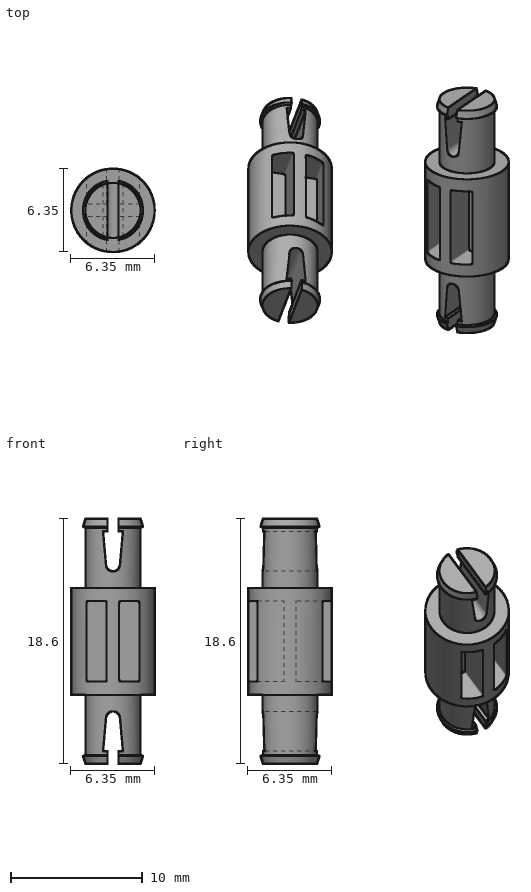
import cadquery as cq
import math

total_length = 18.63
body_diameter = 6.35
body_length = 8.15
pin_diameter = 4.2

rim_diameter = 4.56
rim_edge_depth = 0.6
rim_bottom_depth = 0.69

slot_entry_width = 0.82
slot_shoulder_depth = 0.97
slot_shoulder_width = 1.49
slot_depth = 3.99
slot_end_radius = 0.52

pocket_rib_width = 0.95
pocket_width = 1.53
pocket_height = 6.13
pocket_corner_radius = 0.15
pocket_floor_offset = 0.47

half_length = total_length / 2
body_radius = body_diameter / 2
pin_radius = pin_diameter / 2
rim_radius = rim_diameter / 2


def make_pin():
    """Upper pin with its snap rim, running from the part centre to the end."""
    profile = [
        (0, 0),
        (pin_radius, 0),
        (pin_radius, half_length - rim_bottom_depth),
        (rim_radius, half_length - rim_edge_depth),
        (pin_radius, half_length),
        (0, half_length),
    ]
    return cq.Workplane("XZ").polyline(profile).close().revolve(360, (0, 0, 0), (0, 1, 0))


def make_slot():
    """Narrow entry, wide shoulder, and sides that taper tangent to a round end."""
    entry_x = slot_entry_width / 2
    shoulder_x = slot_shoulder_width / 2
    shoulder_z = half_length - slot_shoulder_depth
    end_z = half_length - slot_depth
    centre_z = end_z + slot_end_radius

    corner_height = shoulder_z - centre_z
    corner_angle = math.atan2(corner_height, shoulder_x)
    corner_distance = math.hypot(shoulder_x, corner_height)
    tangent_angle = corner_angle - math.acos(slot_end_radius / corner_distance)
    tangent_x = slot_end_radius * math.cos(tangent_angle)
    tangent_z = centre_z + slot_end_radius * math.sin(tangent_angle)

    return (
        cq.Workplane("XZ")
        .moveTo(-entry_x, half_length)
        .lineTo(-entry_x, shoulder_z)
        .lineTo(-shoulder_x, shoulder_z)
        .lineTo(-tangent_x, tangent_z)
        .threePointArc((0, end_z), (tangent_x, tangent_z))
        .lineTo(shoulder_x, shoulder_z)
        .lineTo(entry_x, shoulder_z)
        .lineTo(entry_x, half_length)
        .close()
        .extrude(rim_radius, both=True)
    )


def make_pocket(side_x, side_y):
    """Round-cornered pocket cutter on the given X and Y sides."""
    depth = body_radius - pocket_floor_offset
    centre_x = side_x * (pocket_rib_width + pocket_width) / 2
    centre_y = side_y * (pocket_floor_offset + depth / 2)
    return (
        cq.Workplane("XY")
        .box(pocket_width, depth, pocket_height)
        .edges("|Y")
        .fillet(pocket_corner_radius)
        .translate((centre_x, centre_y, 0))
    )


slotted_pin = make_pin().cut(make_slot())
result = cq.Workplane("XY").circle(body_radius).extrude(body_length / 2, both=True)
result = result.union(slotted_pin).union(slotted_pin.mirror("XY"))
for side_x in (-1, 1):
    for side_y in (-1, 1):
        result = result.cut(make_pocket(side_x, side_y))